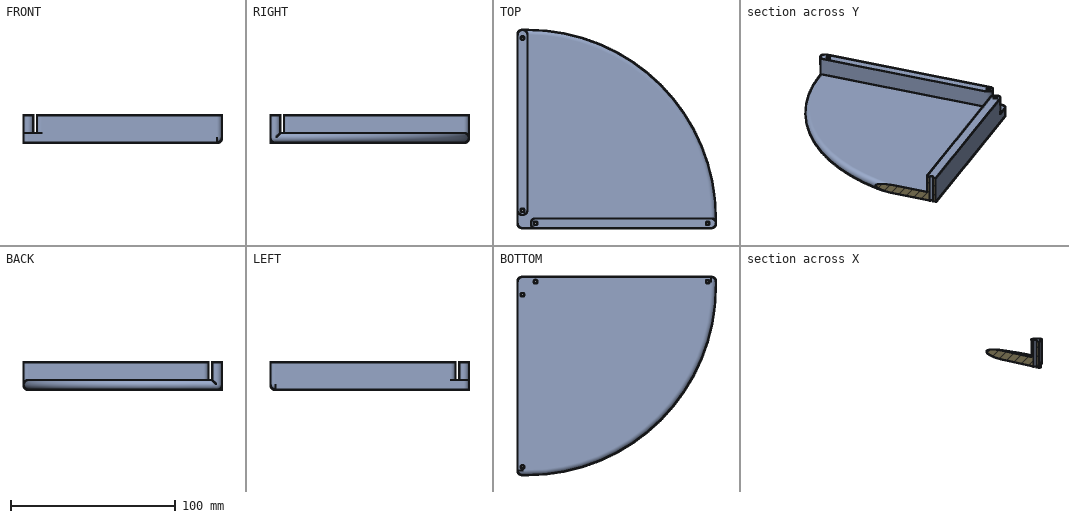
import cadquery as cq
import math

side = 121.0
height = 17.0

plate_thickness = 6.0
wall_width = 6.0
wall_start = 8.1
corner_radius = wall_width / 2

rim_radius = plate_thickness / 2
arc_center = wall_width
rim_path_radius = side - rim_radius - arc_center
rim_offset = side - rim_radius

hole_diameter = 2.0
hole_places = (11.0, 115.9)


def plate_core():
    """Square-edged quarter disc that reaches out to the middle of the round rim."""
    arc_middle = arc_center + rim_path_radius * math.sqrt(0.5)
    return (
        cq.Workplane("XY")
        .lineTo(rim_offset, 0)
        .lineTo(rim_offset, arc_center)
        .threePointArc((arc_middle, arc_middle), (arc_center, rim_offset))
        .lineTo(0, rim_offset)
        .close()
        .extrude(plate_thickness)
        .edges("|Z and <X and <Y")
        .fillet(corner_radius)
    )


def rim_profile(y):
    """Half-round section of the rim in the XZ plane at the given Y."""
    return (
        cq.Workplane("XZ", origin=(rim_offset, y, 0))
        .threePointArc((rim_radius, rim_radius), (0, plate_thickness))
        .close()
    )


def curved_rim():
    """Rim along the quarter arc."""
    axis_start = (arc_center - rim_offset, 0)
    axis_end = (arc_center - rim_offset, 1)
    return rim_profile(arc_center).revolve(90, axis_start, axis_end)


def wall():
    """Round-ended wall along X, with the short straight rim and ball below its far end."""
    length = side - wall_start
    upper = (
        cq.Workplane("XY", origin=(wall_start + length / 2, wall_width / 2, rim_radius))
        .slot2D(length, wall_width)
        .extrude(height - rim_radius)
    )
    straight_rim = rim_profile(arc_center).extrude(arc_center - rim_radius)
    end_ball = rim_profile(wall_width / 2).revolve(90, (0, 1.2), (0, 0))
    return upper.union(straight_rim).union(end_ball)


def mirror_across_diagonal(body):
    """Swap X and Y."""
    return body.mirror("YZ").rotate((0, 0, 0), (0, 0, 1), -90)


def holes():
    """Cutters for the two holes in the wall along X."""
    return (
        cq.Workplane("XY")
        .pushPoints([(x, wall_width / 2) for x in hole_places])
        .circle(hole_diameter / 2)
        .extrude(height)
    )


result = plate_core().union(curved_rim())
for feature in (wall(), mirror_across_diagonal(wall())):
    result = result.union(feature)
for cutter in (holes(), mirror_across_diagonal(holes())):
    result = result.cut(cutter)
result = result.clean()